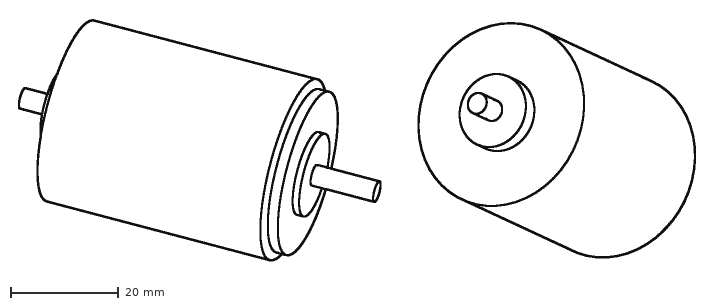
import cadquery as cq

shaft_radius = 2.0
rear_boss_radius = 7.0
body_radius = 17.5
neck_radius = 15.8
front_boss_radius = 8.0

rear_shaft_length = 6.2
rear_boss_length = 3.4
body_length = 44.55
taper_length = 0.85
neck_length = 2.0
front_boss_length = 1.3
front_shaft_length = 12.5

neck_start = -neck_length
taper_start = neck_start - taper_length
body_start = taper_start - body_length
rear_boss_start = body_start - rear_boss_length
shaft_start = rear_boss_start - rear_shaft_length
front_boss_end = front_boss_length
shaft_end = front_boss_end + front_shaft_length

half_section = [
    (shaft_start, 0),
    (shaft_start, shaft_radius),
    (rear_boss_start, shaft_radius),
    (rear_boss_start, rear_boss_radius),
    (body_start, rear_boss_radius),
    (body_start, body_radius),
    (taper_start, body_radius),
    (neck_start, neck_radius),
    (0, neck_radius),
    (0, front_boss_radius),
    (front_boss_end, front_boss_radius),
    (front_boss_end, shaft_radius),
    (shaft_end, shaft_radius),
    (shaft_end, 0),
]

result = cq.Workplane("XZ").polyline(half_section).close().revolve(360, (0, 0), (1, 0))